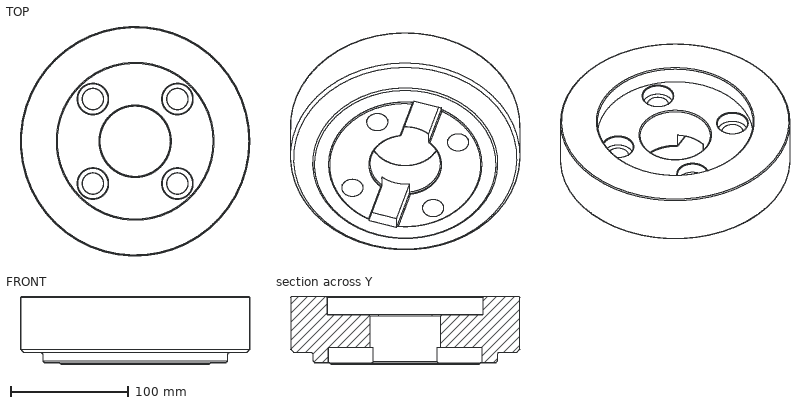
import cadquery as cq

outer_radius = 98.0
total_height = 58.0
pad_height = 1.2
pad_radius = 65.5
boss_radius = 79.0
disc_bottom = 10.0
pocket_radius = 66.5
pocket_depth = 15.7
bore_radius = 30.0
slot_width = 24.7
slot_depth = 14.1
bolt_offset = 36.0
bolt_radius = 9.0
counterbore_radius = 13.0
counterbore_depth = 10.0

edge_chamfer = 1.0
disc_bottom_chamfer = 2.7
boss_chamfer = 1.5
boss_root_fillet = 1.8
pad_chamfer = 1.0
counterbore_chamfer = 0.5

pocket_floor = total_height - pocket_depth
boss_height = disc_bottom - pad_height


def cylinder(radius, bottom, height):
    return cq.Workplane("XY").workplane(offset=bottom).circle(radius).extrude(height)


def flared_hole(radius, rim, depth, chamfer):
    """Cutting tool going down from height rim, flared at its top edge."""
    profile = [
        (0, rim - depth),
        (radius, rim - depth),
        (radius, rim - chamfer),
        (radius + chamfer, rim),
        (0, rim),
    ]
    return cq.Workplane("XZ").polyline(profile).close().revolve(360, (0, 0), (0, 1))


disc = cylinder(outer_radius, disc_bottom, total_height - disc_bottom)
disc = disc.faces(">Z").edges().chamfer(edge_chamfer)
disc = disc.faces("<Z").edges().chamfer(disc_bottom_chamfer)
boss = cylinder(boss_radius, pad_height, boss_height)
boss = boss.faces("<Z").edges().chamfer(boss_chamfer)
body = disc.union(boss)

underside = body.faces("|Z").faces("<Z[1]")
body = underside.edges(cq.selectors.RadiusNthSelector(0)).fillet(boss_root_fillet)

pad = cylinder(pad_radius, 0, pad_height)
body = body.union(pad)
slot = cq.Workplane("XY").rect(2 * pad_radius, slot_width).extrude(slot_depth)
body = body.cut(slot)

body = body.faces("<Z").edges().chamfer(pad_chamfer)

body = body.cut(flared_hole(pocket_radius, total_height, pocket_depth, edge_chamfer))
body = body.cut(flared_hole(bore_radius, pocket_floor, pocket_floor, edge_chamfer))

relief = cylinder(bore_radius + edge_chamfer, 0, pad_height + edge_chamfer)
relief = relief.faces(">Z").edges().chamfer(edge_chamfer)
body = body.cut(relief)

bolt_hole = cylinder(bolt_radius, 0, pocket_floor).union(
    flared_hole(counterbore_radius, pocket_floor, counterbore_depth, counterbore_chamfer)
)
for x in (-bolt_offset, bolt_offset):
    for y in (-bolt_offset, bolt_offset):
        body = body.cut(bolt_hole.translate((x, y, 0)))

result = body